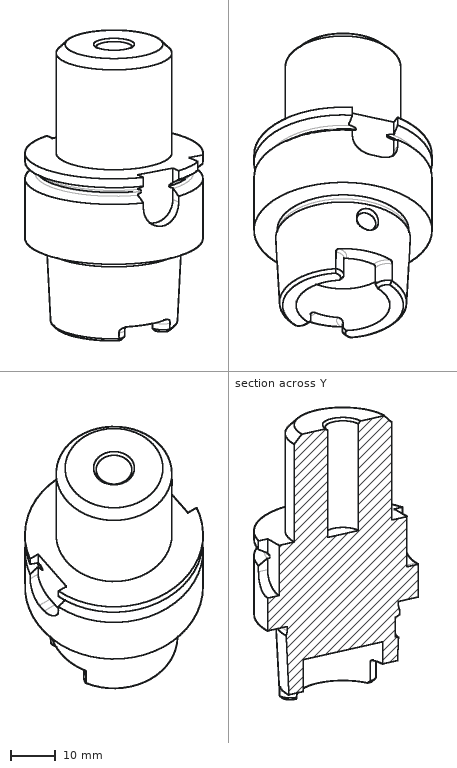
import cadquery as cq
import math

total_height = 65.5
flange_top = 40.0
flange_bottom = 20.0
neck_bottom = 19.0
taper_top = 17.9

shank_radius = 26.0 / 2
shank_chamfer = 2.0
shank_hole_diameter = 8.0
shank_hole_depth = 26.2
shank_hole_chamfer = 0.6

flange_radius = 40.0 / 2
groove_middle = 35.99
groove_half_width = 1.95
groove_floor_radius = 17.4
groove_fillet = 0.7
groove_wall_angle = 30.0

neck_radius = 29.6 / 2
taper_top_radius = 15.1
taper_bottom_radius = 14.3
bore_diameter = 21.0
bore_depth = 11.15
end_chamfer = 0.7

slot_floor_x = 17.0
slot_outer_x = 20.95
slot_bottom = 28.0
wide_slot_width = 10.95
wide_slot_corner = 4.5
round_slot_width = 9.4
notch_offset = 12.2

drive_width = 7.85
drive_mouth_width = 13.6
drive_mouth_x = 12.6
tall_drive_height = 5.8
tall_drive_round = 0.6
short_drive_height = 3.5
short_drive_round = 1.3

side_hole_floor_diameter = 4.6
side_hole_height = 14.0
side_hole_floor_x = 13.95
side_hole_mouth_diameter = 6.15
side_hole_mouth_x = 15.7


def revolved_body():
    """Shank, grooved flange and taper as one turned outline."""
    wall_angle = math.radians(groove_wall_angle)
    arc_turn = math.radians(90) - wall_angle
    arc_outer_radius = groove_floor_radius + groove_fillet * (1 - math.cos(arc_turn))
    arc_outer_height = groove_half_width - (flange_radius - arc_outer_radius) * math.tan(wall_angle)
    arc_inner_height = arc_outer_height - groove_fillet * math.sin(arc_turn)
    arc_middle_radius = groove_floor_radius + groove_fillet * (1 - math.cos(arc_turn / 2))
    arc_middle_height = arc_inner_height + groove_fillet * math.sin(arc_turn / 2)
    return (
        cq.Workplane("XZ")
        .lineTo(taper_bottom_radius - end_chamfer, 0)
        .lineTo(taper_bottom_radius, end_chamfer)
        .lineTo(taper_top_radius, taper_top)
        .lineTo(neck_radius, neck_bottom)
        .lineTo(neck_radius, flange_bottom)
        .lineTo(flange_radius, flange_bottom)
        .lineTo(flange_radius, groove_middle - groove_half_width)
        .lineTo(arc_outer_radius, groove_middle - arc_outer_height)
        .threePointArc(
            (arc_middle_radius, groove_middle - arc_middle_height),
            (groove_floor_radius, groove_middle - arc_inner_height),
        )
        .lineTo(groove_floor_radius, groove_middle + arc_inner_height)
        .threePointArc(
            (arc_middle_radius, groove_middle + arc_middle_height),
            (arc_outer_radius, groove_middle + arc_outer_height),
        )
        .lineTo(flange_radius, groove_middle + groove_half_width)
        .lineTo(flange_radius, flange_top)
        .lineTo(shank_radius, flange_top)
        .lineTo(shank_radius, total_height - shank_chamfer)
        .lineTo(shank_radius - shank_chamfer, total_height)
        .lineTo(0, total_height)
        .close()
        .revolve(360, (0, 0, 0), (0, 1, 0))
    )


def rim_slot_blank(width, bottom):
    """Square cutter at the +X side, reaching from the given height to the flange top."""
    return (
        cq.Workplane("XY")
        .box(slot_outer_x - slot_floor_x, width, flange_top - bottom, centered=(False, True, False))
        .translate((slot_floor_x, 0, bottom))
    )


def wide_slot():
    """Cutter for the wide rim slot, with rounded lower corners."""
    return rim_slot_blank(wide_slot_width, slot_bottom).edges("|X and <Z").fillet(wide_slot_corner)


def round_slot():
    """Cutter for the narrower rim slot, with a half-round lower end."""
    radius = round_slot_width / 2
    center_height = slot_bottom + radius
    round_end = (
        cq.Workplane("YZ", origin=(slot_floor_x, 0, center_height))
        .circle(radius)
        .extrude(slot_outer_x - slot_floor_x)
    )
    return rim_slot_blank(round_slot_width, center_height).union(round_end)


def corner_notch():
    """Cutter for the square notch through the rim above the groove."""
    size = flange_radius - notch_offset
    return (
        cq.Workplane("XY")
        .box(size, size, flange_top - groove_middle, centered=False)
        .translate((notch_offset, notch_offset, groove_middle))
    )


def drive_outline(height, growth):
    """Closed outline of a +X drive slot; its flares lose radius as the slot grows."""
    half_mouth = drive_mouth_width / 2
    flare_center_x = drive_mouth_x - (drive_mouth_width - drive_width) / 2
    radius = drive_mouth_x - flare_center_x - growth
    half_width = half_mouth - radius
    arc_x = flare_center_x + radius * math.sin(math.radians(45))
    arc_y = half_mouth - radius * math.cos(math.radians(45))
    return (
        cq.Workplane("XY", origin=(0, 0, height))
        .moveTo(0, -half_width)
        .lineTo(flare_center_x, -half_width)
        .threePointArc((arc_x, -arc_y), (flare_center_x + radius, -half_mouth))
        .lineTo(flange_radius, -half_mouth)
        .lineTo(flange_radius, half_mouth)
        .lineTo(flare_center_x + radius, half_mouth)
        .threePointArc((arc_x, arc_y), (flare_center_x, half_width))
        .lineTo(0, half_width)
        .close()
    )


def drive_slot(height, top_round):
    """Cutter for a drive slot at the +X side, with a flared mouth and chamfered lower edges."""
    slot = (
        drive_outline(0, 0)
        .extrude(height)
        .faces(">Z")
        .edges("not(>X or <X)")
        .fillet(top_round)
    )
    wide_end = drive_outline(0, end_chamfer).val()
    narrow_end = drive_outline(end_chamfer, 0).val()
    chamfer = cq.Workplane(cq.Solid.makeLoft([wide_end, narrow_end], True))
    return slot.union(chamfer)


def side_hole():
    """Conical cutter for the flat-bottomed blind hole at the -X side."""
    return (
        cq.Workplane("YZ", origin=(-side_hole_floor_x, 0, side_hole_height))
        .circle(side_hole_floor_diameter / 2)
        .workplane(offset=side_hole_floor_x - side_hole_mouth_x)
        .circle(side_hole_mouth_diameter / 2)
        .loft()
    )


def on_minus_x(cutter):
    """Turn a +X side cutter round to the -X side."""
    return cutter.rotate((0, 0, 0), (0, 0, 1), 180)


body = revolved_body()

body = body.faces("<Z").workplane().hole(bore_diameter, bore_depth)
body = body.faces(">Z").workplane().hole(shank_hole_diameter, shank_hole_depth)
body = body.faces(">Z").edges(cq.selectors.RadiusNthSelector(0)).chamfer(shank_hole_chamfer)

body = body.cut(on_minus_x(wide_slot()))
body = body.cut(round_slot())
body = body.cut(corner_notch())

body = body.cut(on_minus_x(drive_slot(tall_drive_height, tall_drive_round)))
body = body.cut(drive_slot(short_drive_height, short_drive_round))
body = body.cut(side_hole())

result = body